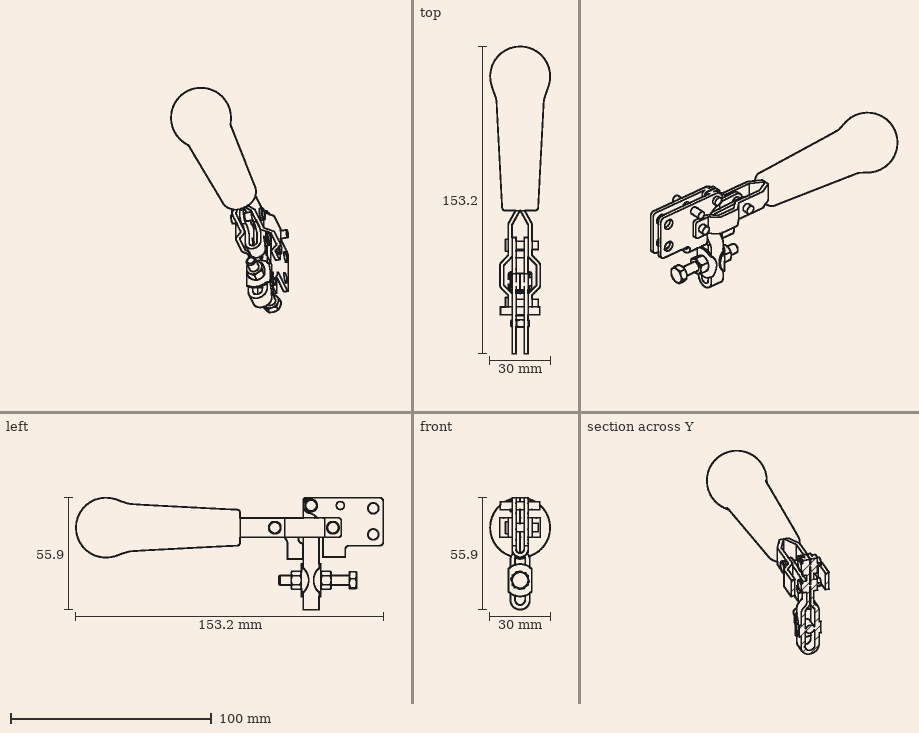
import cadquery as cq
import math


LENGTH = 153.2
SHEET = 2.0
CHANNEL_HALF = 2 * SHEET
STRIP_HALF = 3 * SHEET
EAR_RADIUS = 4.0

BALL_RADIUS = 15.0
BALL_Y = LENGTH - BALL_RADIUS
GRIP_END_Y = 71.4
GRIP_END_RADIUS = 9.0
GRIP_END_ROUND = 1.5
GRIP_TOP_Y = 125.2
GRIP_TOP_RADIUS = 11.8
NECK_Y = 127.8
NECK_RADIUS = 12.3
BALL_BLEND_ANGLE = 18.0

STRIP_HALF_HEIGHT = 4.9
STRIP_END_Y = 21.0
STRIP_END_ROUND = 1.5
STRIP_TANG = 6.1
BULGE_HALF = 10.1
BULGE_BACK_Y = 44.9
BULGE_FRONT_Y = 33.4
BULGE_START_Y = 49.2
BULGE_END_Y = 29.3
SPREAD_START_Y = 72.0
SPREAD_END_Y = 64.8
STRIP_BEND_RADIUS = 2.3

PLATE_TOP = 15.0
PLATE_BOTTOM = -9.0
PLATE_ROUND = 2.0
TAB_FRONT_Y = 19.0
TAB_BACK_Y = 30.2
TAB_BOTTOM = -14.7
BASE_RELIEF_MID = (33.1, 5.0)
BASE_RELIEF_END_Z = -1.5
MOUNT_HOLE_Y = 5.0
MOUNT_HOLE_ZS = (9.7, -3.4)
MOUNT_HOLE_DIAMETER = 5.2

ARM_PIVOT = (36.0, 11.0)
ARM_LINK_PIVOT = (36.0, -0.8)
HANDLE_BASE_PIVOT = (25.1, 0.0)
HANDLE_LINK_PIVOT = (54.1, 0.0)
STOP_PIN = (21.5, 11.0)
STOP_PIN_RADIUS = 2.0
STOP_PIN_HALF_LENGTH = 9.8
PIN_RADIUS = 2.1
PIN_HEAD_RADIUS = 3.0
PIN_HEAD_BEVEL = 0.3
SHORT_HEAD = 0.9
LONG_HEAD = 1.4
SHORT_PIN_END = 5.8
LONG_PIN_END = 9.0

LINK_TAB_FRONT_Y = 40.1
LINK_TAB_BACK_Y = 47.8
LINK_TAB_TOP = -7.8
LINK_TAB_BOTTOM = -15.6
LINK_NECK_FRONT_Y = 42.3
LINK_NECK_MID = (49.0, -5.2)

ARM_WIDTH = 8.0
ARM_BOTTOM = -40.9
ARM_HALF = 4.9
ARM_INNER_HALF = 2.5
ARM_SEAM = 0.2
ARM_JOG_TOP = -11.2
ARM_JOG_BOTTOM = -14.4
ARM_JOG_TOP_RADIUS = 2.0
ARM_JOG_BOTTOM_RADIUS = 4.0
ARM_INNER_JOG_TOP = -12.1
ARM_INNER_JOG_BOTTOM = -15.0
ARM_TOP_ROUND = 1.5

SPINDLE_Z = -26.2
SPINDLE_RADIUS = 2.5
SPINDLE_END_Y = 52.1
SPINDLE_CHAMFER = 0.6
HEAD_FRONT_Y = 13.3
HEAD_HEIGHT = 3.7
HEAD_TURN = 22.0
HEX_CORNER_RADIUS = 4.6
HEX_CHAMFER = 0.6
NUT_HEIGHT = 5.0
WASHER_RADIUS = 8.1
WASHER_THICKNESS = 0.9
WASHER_FOLD_RADIUS = 1.5
FLAP_REACH = 2.8


def rod_x(pivot, radius, x_start, x_end):
    """Cylinder along X through a (Y, Z) point."""
    return cq.Workplane("YZ", origin=(x_start, 0, 0)).center(*pivot).circle(radius).extrude(x_end - x_start)


def slab_x(sketch, half_width):
    """Extrude a YZ outline to both sides of X = 0."""
    return sketch.extrude(half_width, both=True)


def channel(bottom):
    """Endless U-shaped channel along Y, open at the top, with a round bottom at the given height."""
    centre_z = bottom + CHANNEL_HALF

    def bullet(half_width):
        return (
            cq.Workplane("XZ")
            .moveTo(-half_width, LENGTH)
            .lineTo(-half_width, centre_z)
            .threePointArc((0, centre_z - half_width), (half_width, centre_z))
            .lineTo(half_width, LENGTH)
            .close()
            .extrude(-LENGTH)
        )

    return bullet(CHANNEL_HALF).cut(bullet(CHANNEL_HALF - SHEET))


def headed_pin(pivot, seat_half, head_height, end_x):
    """Pin with a flat head on the -X side, seated on the outer face of the sheets."""
    shank = rod_x(pivot, PIN_RADIUS, -seat_half, end_x)
    head = rod_x(pivot, PIN_HEAD_RADIUS, -seat_half - head_height, -seat_half)
    head = head.faces("<X").chamfer(PIN_HEAD_BEVEL)
    return shank.union(head)


def bent_sheet(outer):
    """Outline of a bent sheet: the outer (X, Y) points plus the same path one sheet thickness to its left."""
    angles = [math.atan2(y1 - y0, x1 - x0) for (x0, y0), (x1, y1) in zip(outer, outer[1:])]
    inner = []
    for (x, y), before, after in zip(outer, angles[:1] + angles, angles + angles[-1:]):
        normal = (before + after + math.pi) / 2
        reach = SHEET / math.cos((after - before) / 2)
        inner.append((x + reach * math.cos(normal), y + reach * math.sin(normal)))
    return outer + inner[::-1]


def handle():
    blend = math.radians(BALL_BLEND_ANGLE)
    blend_point = (BALL_RADIUS * math.cos(blend), BALL_Y - BALL_RADIUS * math.sin(blend))
    profile = (
        cq.Workplane("XY")
        .moveTo(0, GRIP_END_Y)
        .lineTo(GRIP_END_RADIUS - GRIP_END_ROUND, GRIP_END_Y)
        .radiusArc((GRIP_END_RADIUS, GRIP_END_Y + GRIP_END_ROUND), -GRIP_END_ROUND)
        .lineTo(GRIP_TOP_RADIUS, GRIP_TOP_Y)
        .tangentArcPoint((NECK_RADIUS, NECK_Y), relative=False)
        .lineTo(*blend_point)
        .threePointArc((BALL_RADIUS, BALL_Y), (0, LENGTH))
        .close()
    )
    return profile.revolve(360, (0, 0, 0), (0, 1, 0))


def handle_strips():
    outer = [
        (STRIP_HALF, STRIP_END_Y),
        (STRIP_HALF, BULGE_END_Y),
        (BULGE_HALF, BULGE_FRONT_Y),
        (BULGE_HALF, BULGE_BACK_Y),
        (STRIP_HALF, BULGE_START_Y),
        (STRIP_HALF, SPREAD_END_Y),
        (SHEET, SPREAD_START_Y),
        (SHEET, GRIP_END_Y + STRIP_TANG),
    ]
    strip = (
        cq.Workplane("XY", origin=(0, 0, -STRIP_HALF_HEIGHT))
        .polyline(bent_sheet(outer))
        .close()
        .extrude(2 * STRIP_HALF_HEIGHT)
        .edges("|X and <Y")
        .fillet(STRIP_END_ROUND)
    )
    spread_bend = cq.selectors.NearestToPointSelector((STRIP_HALF, SPREAD_END_Y, 0))
    for bend in ("|Z and >X", spread_bend):
        strip = strip.edges("|Z").edges(bend).fillet(STRIP_BEND_RADIUS)
    return strip.union(strip.mirror("YZ"))


def base():
    ear_y, ear_z = ARM_PIVOT
    outline = (
        cq.Workplane("YZ")
        .moveTo(0, PLATE_BOTTOM + PLATE_ROUND)
        .lineTo(0, PLATE_TOP - PLATE_ROUND)
        .radiusArc((PLATE_ROUND, PLATE_TOP), PLATE_ROUND)
        .lineTo(ear_y, PLATE_TOP)
        .threePointArc((ear_y + EAR_RADIUS, ear_z), (ear_y, ear_z - EAR_RADIUS))
        .threePointArc(BASE_RELIEF_MID, (TAB_BACK_Y, BASE_RELIEF_END_Z))
        .lineTo(TAB_BACK_Y, TAB_BOTTOM)
        .lineTo(TAB_FRONT_Y, TAB_BOTTOM)
        .lineTo(TAB_FRONT_Y, PLATE_BOTTOM - PLATE_ROUND)
        .radiusArc((TAB_FRONT_Y - PLATE_ROUND, PLATE_BOTTOM), -PLATE_ROUND)
        .lineTo(PLATE_ROUND, PLATE_BOTTOM)
        .radiusArc((0, PLATE_BOTTOM + PLATE_ROUND), PLATE_ROUND)
        .close()
    )
    plates = slab_x(outline, CHANNEL_HALF).intersect(channel(TAB_BOTTOM))
    for hole_z in MOUNT_HOLE_ZS:
        hole = rod_x((MOUNT_HOLE_Y, hole_z), MOUNT_HOLE_DIAMETER / 2, -CHANNEL_HALF, CHANNEL_HALF)
        plates = plates.cut(hole)
    return plates


def link():
    front_y, front_z = ARM_LINK_PIVOT
    back_y, back_z = HANDLE_LINK_PIVOT
    notch_round = LINK_NECK_FRONT_Y - LINK_TAB_FRONT_Y
    outline = (
        cq.Workplane("YZ")
        .moveTo(front_y, front_z + EAR_RADIUS)
        .lineTo(back_y, back_z + EAR_RADIUS)
        .threePointArc((back_y + EAR_RADIUS, back_z), (back_y, back_z - EAR_RADIUS))
        .threePointArc(LINK_NECK_MID, (LINK_TAB_BACK_Y, LINK_TAB_TOP))
        .lineTo(LINK_TAB_BACK_Y, LINK_TAB_BOTTOM)
        .lineTo(LINK_TAB_FRONT_Y, LINK_TAB_BOTTOM)
        .lineTo(LINK_TAB_FRONT_Y, LINK_TAB_TOP)
        .radiusArc((LINK_NECK_FRONT_Y, LINK_TAB_TOP + notch_round), -notch_round)
        .lineTo(LINK_NECK_FRONT_Y, front_z - EAR_RADIUS)
        .lineTo(front_y, front_z - EAR_RADIUS)
        .threePointArc((front_y - EAR_RADIUS, front_z), (front_y, front_z + EAR_RADIUS))
        .close()
    )
    return slab_x(outline, CHANNEL_HALF).intersect(channel(LINK_TAB_BOTTOM))


def arm():
    loop_z = ARM_BOTTOM + ARM_HALF
    section = (
        cq.Workplane("XZ", origin=(0, ARM_PIVOT[0] + ARM_WIDTH / 2, 0))
        .moveTo(ARM_SEAM, PLATE_TOP)
        .lineTo(SHEET, PLATE_TOP)
        .lineTo(SHEET, ARM_JOG_TOP)
        .lineTo(ARM_HALF, ARM_JOG_BOTTOM)
        .lineTo(ARM_HALF, loop_z)
        .threePointArc((0, ARM_BOTTOM), (-ARM_HALF, loop_z))
        .lineTo(-ARM_HALF, ARM_JOG_BOTTOM)
        .lineTo(-SHEET, ARM_JOG_TOP)
        .lineTo(-SHEET, PLATE_TOP)
        .lineTo(-ARM_SEAM, PLATE_TOP)
        .lineTo(-ARM_SEAM, ARM_INNER_JOG_TOP)
        .lineTo(-ARM_INNER_HALF, ARM_INNER_JOG_BOTTOM)
        .lineTo(-ARM_INNER_HALF, loop_z)
        .threePointArc((0, loop_z - ARM_INNER_HALF), (ARM_INNER_HALF, loop_z))
        .lineTo(ARM_INNER_HALF, ARM_INNER_JOG_BOTTOM)
        .lineTo(ARM_SEAM, ARM_INNER_JOG_TOP)
        .close()
    )
    body = section.extrude(ARM_WIDTH).edges("|X and >Z").fillet(ARM_TOP_ROUND)
    bends = (
        (SHEET, ARM_JOG_TOP, ARM_JOG_TOP_RADIUS),
        (ARM_HALF, ARM_JOG_BOTTOM, ARM_JOG_BOTTOM_RADIUS),
    )
    for bend_x, bend_z, radius in bends:
        for x in (bend_x, -bend_x):
            edge = cq.selectors.NearestToPointSelector((x, ARM_PIVOT[0], bend_z))
            body = body.edges("|Y").edges(edge).fillet(radius)
    return body


def hexagon(start_y, height, turn=0.0):
    """Hexagon along +Y, with corners up and down when turn is zero, with the corners bevelled at both ends."""
    prism = (
        cq.Workplane("XZ", origin=(0, start_y, SPINDLE_Z))
        .transformed(rotate=(0, 0, 90 + turn))
        .polygon(6, 2 * HEX_CORNER_RADIUS)
        .extrude(-height)
    )
    bevel = (
        cq.Workplane("XZ", origin=(0, start_y, SPINDLE_Z))
        .circle(HEX_CORNER_RADIUS)
        .extrude(-height)
        .faces("|Y")
        .chamfer(HEX_CHAMFER)
    )
    return prism.intersect(bevel)


def washer(side):
    """Round washer on one face of the arm (side +1 is +Y) with two flaps folded along the arm."""
    arm_face_y = ARM_PIVOT[0] + side * ARM_WIDTH / 2
    outer_half = ARM_HALF + WASHER_THICKNESS
    depth = FLAP_REACH + WASHER_THICKNESS
    slot_centre_y = arm_face_y - side * FLAP_REACH / 2
    slot = cq.Workplane("XY").box(2 * ARM_HALF, FLAP_REACH, LENGTH).translate((0, slot_centre_y, SPINDLE_Z))
    fold = (
        cq.Workplane("XY")
        .box(2 * outer_half, depth, 2 * WASHER_RADIUS)
        .translate((0, slot_centre_y + side * WASHER_THICKNESS / 2, SPINDLE_Z))
        .edges("|Z")
        .edges(">Y" if side > 0 else "<Y")
        .fillet(WASHER_FOLD_RADIUS)
        .cut(slot)
    )
    disc = cq.Workplane("XZ", origin=(0, 0, SPINDLE_Z)).circle(WASHER_RADIUS).extrude(-LENGTH)
    flap_centre_y = arm_face_y + side * (WASHER_RADIUS - FLAP_REACH)
    flap_disc = rod_x((flap_centre_y, SPINDLE_Z), WASHER_RADIUS, -outer_half, outer_half)
    flap_waste = (
        cq.Workplane("XY")
        .box(2 * outer_half, FLAP_REACH, LENGTH)
        .translate((0, slot_centre_y, SPINDLE_Z))
        .cut(flap_disc)
    )
    return fold.intersect(disc).cut(flap_waste)


def spindle():
    rod = (
        cq.Workplane("XZ", origin=(0, HEAD_FRONT_Y, SPINDLE_Z))
        .circle(SPINDLE_RADIUS)
        .extrude(HEAD_FRONT_Y - SPINDLE_END_Y)
        .faces(">Y")
        .chamfer(SPINDLE_CHAMFER)
    )
    seat = ARM_WIDTH / 2 + WASHER_THICKNESS
    front_nut = hexagon(ARM_PIVOT[0] - seat - NUT_HEIGHT, NUT_HEIGHT)
    back_nut = hexagon(ARM_PIVOT[0] + seat, NUT_HEIGHT)
    head = hexagon(HEAD_FRONT_Y, HEAD_HEIGHT, HEAD_TURN)
    return rod.union(front_nut).union(back_nut).union(head).union(washer(1)).union(washer(-1))


def pins():
    all_pins = rod_x(STOP_PIN, STOP_PIN_RADIUS, -STOP_PIN_HALF_LENGTH, STOP_PIN_HALF_LENGTH)
    for pivot in (ARM_PIVOT, ARM_LINK_PIVOT):
        all_pins = all_pins.union(headed_pin(pivot, CHANNEL_HALF, SHORT_HEAD, SHORT_PIN_END))
    for pivot in (HANDLE_BASE_PIVOT, HANDLE_LINK_PIVOT):
        all_pins = all_pins.union(headed_pin(pivot, STRIP_HALF, LONG_HEAD, LONG_PIN_END))
    return all_pins


result = base()
for body in (arm(), link(), handle_strips(), handle(), pins(), spindle()):
    result = result.union(body)